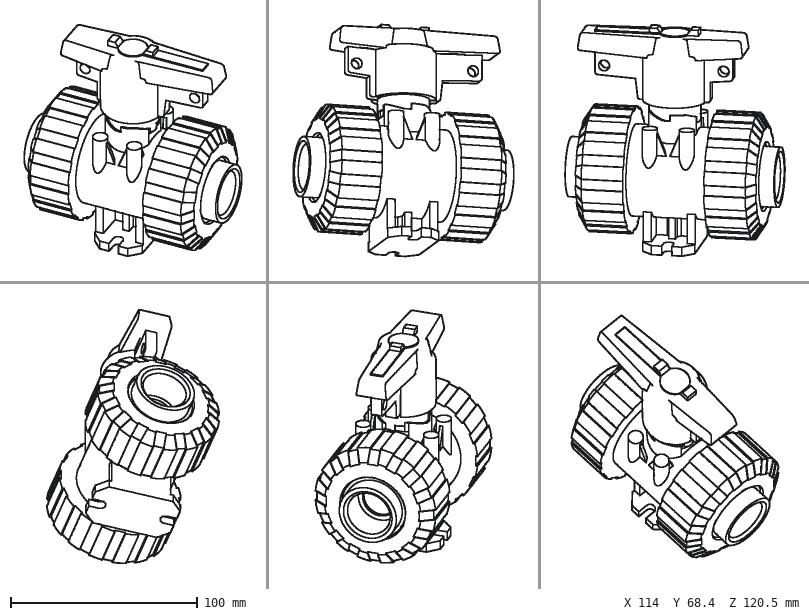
import cadquery as cq
import math


OVERALL_LENGTH = 114.0
BORE_R = 9.6
BARREL_R = 24.8
BARREL_END = 36.1

NUT_INNER_X = 22.2
NUT_SHOULDER_X = 44.8
NUT_FACE_X = 49.3
NUT_RIB_R = 34.3
NUT_RIB_FACE_R = 27.5
NUT_GROOVE_R = 33.4
NUT_GROOVE_FACE_R = 26.5
NUT_GROOVE_COUNT = 16
NUT_GROOVE_WIDTH = 5.8
NUT_HOLE_R = 18.7

CONNECTOR_END_X = OVERALL_LENGTH / 2
CONNECTOR_PIPE_R = 16.3
CONNECTOR_COLLAR_R = 18.2
CONNECTOR_COLLAR_X = 47.6
CONNECTOR_FLANGE_X = 41.0
SOCKET_R = 12.2
SOCKET_DEPTH = 19.0
SOCKET_CHAMFER = 1.7

TOWER_R = 15.0
TOWER_FLAT_X = 13.0
TOWER_TOP = 35.4
TOWER_LOW = 32.3
STOP_COUNT = 4
RAMP_MIDDLE_ANGLE = 55.0
RAMP_HALF_LENGTH = 5.2

PEG_R = 4.1
PEG_X = 10.1
PEG_Y = 19.4
PEG_TOP = 29.0
GUSSET_THICKNESS = 1.8
GUSSET_TOP = 26.5
SIDE_GUSSET_LENGTH = 9.0
SIDE_GUSSET_FOOT_Z = 14.5
INNER_GUSSET_LENGTH = 6.4
INNER_GUSSET_FOOT_Z = 21.0
INNER_GUSSET_ANGLE = 110.0

FOOT_BOTTOM = -40.0
FOOT_THICKNESS = 5.0
FOOT_HALF_X = 14.2
FOOT_HALF_Y = 24.0
FOOT_CORNER = 5.9
FOOT_SLOT_R = 2.8
FOOT_SLOT_CENTER_Y = 18.3
SIDE_WALL_THICKNESS = 4.5
SIDE_WALL_HALF_Y = 16.6
FOOT_RIB_THICKNESS = 3.7
FOOT_RIB_HALF_Y = 8.7
FOOT_POST_R = 4.2

NECK_R = 14.1
NECK_BOTTOM = 29.7
NECK_STOP_Z = 33.1
NECK_TOP = 51.8
HUB_R = 17.5
HUB_BOTTOM = 40.3
HUB_ROUND = 1.7
HUB_ROUND_Z = 66.1
HUB_COVE = 0.7
CONE_TOP_R = 13.5
CONE_TOP_Z = 75.9
SLOT_WIDTH = 8.7
SLOT_TOP = 66.7

LEVER_TOP = 77.2
LEVER_BOTTOM = 65.9
LEVER_DRAFT = 8.0
LEVER_LEFT_X = -39.0
LEVER_RIGHT_X = 52.0
LEVER_LEFT_HALF_Y = 9.8
LEVER_MIDDLE_HALF_Y = 12.4
LEVER_RIGHT_HALF_Y = 8.9
LEVER_LEFT_RISE = 1.8
LEVER_RIGHT_RISE = 1.7
LEVER_UNDERSIDE_X = 14.5
LEVER_END_ROUND = 2.2
LEVER_TIP_ROUND = 1.5

WEB_THICKNESS = 6.3
WEB_LEFT_X = -32.0
WEB_RIGHT_X = 43.1
WEB_STEP_LEFT_X = -19.9
WEB_STEP_RIGHT_X = 21.1
WEB_FOOT_RIGHT_X = 19.8
WEB_END_Z = 53.0
WEB_ROUND = 1.6
WEB_HOLE_R = 2.9
WEB_HOLE_Z = 58.2
WEB_HOLE_INSET = 4.9

MARK_TOP = 77.9
DISC_R = 8.1
STRIP_WIDTH = 7.0
LUG_TOP = 80.5
LUG_WIDTH = 6.4
LUG_INNER_X = 7.3
LUG_RAMP_X = 9.2
LUG_OUTER_X = 13.4


def cylinder_x(radius, start, end):
    return cq.Workplane("YZ", origin=(start, 0, 0)).circle(radius).extrude(end - start)


def cylinder_z(radius, bottom, top, x=0, y=0):
    return cq.Workplane("XY", origin=(x, y, bottom)).circle(radius).extrude(top - bottom)


def box_between(x_range, y_range, z_range):
    lower_corner = (x_range[0], y_range[0], z_range[0])
    size = [high - low for low, high in (x_range, y_range, z_range)]
    return cq.Workplane("XY").box(*size, centered=False).translate(lower_corner)


def slab_y(points, thickness, middle_y=0):
    """Outline of (x, z) points made into a slab whose thickness is centred on middle_y."""
    outline = cq.Workplane("XZ", origin=(0, middle_y, 0)).polyline(points).close()
    return outline.extrude(thickness / 2, both=True)



def tower():
    shape = cylinder_z(TOWER_R, 0, TOWER_TOP)
    flats = box_between((-TOWER_FLAT_X, TOWER_FLAT_X), (-TOWER_R, TOWER_R), (0, TOWER_TOP))
    shape = shape.intersect(flats)

    ramp = [
        (-RAMP_HALF_LENGTH, TOWER_TOP),
        (RAMP_HALF_LENGTH, TOWER_LOW),
        (TOWER_R, TOWER_LOW),
        (TOWER_R, TOWER_TOP),
    ]
    wedge = cq.Workplane("YZ").polyline(ramp).close().extrude(2 * TOWER_R)
    wedge = wedge.rotate((0, 0, 0), (0, 0, 1), RAMP_MIDDLE_ANGLE)
    quadrant = box_between((0, TOWER_R), (0, TOWER_R), (0, TOWER_TOP))
    wedge = wedge.intersect(quadrant)
    for i in range(STOP_COUNT):
        shape = shape.cut(wedge.rotate((0, 0, 0), (0, 0, 1), i * 360 / STOP_COUNT))
    return shape


def gusset(length, foot_z):
    """Gusset that slopes from the peg on the +X +Y side down to a foot towards -X."""
    outline = [
        (PEG_X, 0),
        (PEG_X, GUSSET_TOP),
        (PEG_X - PEG_R, GUSSET_TOP),
        (PEG_X - length, foot_z),
        (PEG_X - length, 0),
    ]
    return slab_y(outline, GUSSET_THICKNESS, PEG_Y)


def peg_with_gussets():
    """The peg on the +X +Y side, with one gusset towards -X and one towards the tower."""
    peg = cylinder_z(PEG_R, 0, PEG_TOP, PEG_X, PEG_Y)
    side_gusset = gusset(SIDE_GUSSET_LENGTH, SIDE_GUSSET_FOOT_Z)
    inner_gusset = gusset(INNER_GUSSET_LENGTH, INNER_GUSSET_FOOT_Z)
    inner_gusset = inner_gusset.rotate((PEG_X, PEG_Y, 0), (PEG_X, PEG_Y, 1), INNER_GUSSET_ANGLE)
    return peg.union(side_gusset).union(inner_gusset)


def foot():
    foot_top = FOOT_BOTTOM + FOOT_THICKNESS
    y_span = (-FOOT_HALF_Y, FOOT_HALF_Y)
    plate = box_between((-FOOT_HALF_X, FOOT_HALF_X), y_span, (FOOT_BOTTOM, foot_top))
    plate = plate.edges("|Z").chamfer(FOOT_CORNER)
    for side in (1, -1):
        slot_end = cylinder_z(FOOT_SLOT_R, FOOT_BOTTOM, foot_top, 0, side * FOOT_SLOT_CENTER_Y)
        slot_y = sorted((side * FOOT_SLOT_CENTER_Y, side * FOOT_HALF_Y))
        slot = box_between((-FOOT_SLOT_R, FOOT_SLOT_R), slot_y, (FOOT_BOTTOM, foot_top))
        plate = plate.cut(slot_end).cut(slot)

    wall_z = (FOOT_BOTTOM, 0)
    wall_y = (-SIDE_WALL_HALF_Y, SIDE_WALL_HALF_Y)
    walls = box_between((-FOOT_HALF_X, FOOT_HALF_X), wall_y, wall_z)
    inside_x = FOOT_HALF_X - SIDE_WALL_THICKNESS
    walls = walls.cut(box_between((-inside_x, inside_x), wall_y, wall_z))

    half_rib = FOOT_RIB_THICKNESS / 2
    long_rib = box_between((-FOOT_HALF_X, FOOT_HALF_X), (-half_rib, half_rib), wall_z)
    cross_rib = box_between((-half_rib, half_rib), (-FOOT_RIB_HALF_Y, FOOT_RIB_HALF_Y), wall_z)
    post = cylinder_z(FOOT_POST_R, FOOT_BOTTOM, 0)
    return plate.union(walls).union(long_rib).union(cross_rib).union(post)


def valve_body():
    shape = cylinder_x(BARREL_R, -BARREL_END, BARREL_END)
    shape = shape.union(tower()).union(foot())
    peg = peg_with_gussets()
    for side_peg in (peg, peg.mirror("YZ")):
        shape = shape.union(side_peg).union(side_peg.mirror("XZ"))
    shape = shape.cut(cylinder_z(NECK_R, NECK_BOTTOM, TOWER_TOP))
    return shape.cut(cylinder_x(BORE_R, -BARREL_END, BARREL_END))



def nut_blank(radius, face_radius):
    outline = [
        (NUT_INNER_X, 0),
        (NUT_INNER_X, radius),
        (NUT_SHOULDER_X, radius),
        (NUT_FACE_X, face_radius),
        (NUT_FACE_X, 0),
    ]
    return cq.Workplane("XY").polyline(outline).close().revolve(360, (0, 0, 0), (1, 0, 0))


def union_nut():
    ribs = nut_blank(NUT_RIB_R, NUT_RIB_FACE_R)
    half_groove = NUT_GROOVE_WIDTH / 2
    groove = box_between((NUT_INNER_X, NUT_FACE_X), (-half_groove, half_groove), (BARREL_R, NUT_RIB_R))
    for i in range(NUT_GROOVE_COUNT):
        ribs = ribs.cut(groove.rotate((0, 0, 0), (1, 0, 0), i * 360 / NUT_GROOVE_COUNT))
    shape = ribs.union(nut_blank(NUT_GROOVE_R, NUT_GROOVE_FACE_R))
    shape = shape.cut(cylinder_x(BARREL_R, NUT_INNER_X, CONNECTOR_FLANGE_X))
    return shape.cut(cylinder_x(NUT_HOLE_R, CONNECTOR_FLANGE_X, NUT_FACE_X))


def end_connector():
    shape = cylinder_x(BARREL_R, BARREL_END, CONNECTOR_FLANGE_X)
    shape = shape.union(cylinder_x(CONNECTOR_COLLAR_R, BARREL_END, CONNECTOR_COLLAR_X))
    shape = shape.union(cylinder_x(CONNECTOR_PIPE_R, BARREL_END, CONNECTOR_END_X))
    socket = cylinder_x(SOCKET_R, CONNECTOR_END_X - SOCKET_DEPTH, CONNECTOR_END_X)
    shape = shape.cut(cylinder_x(BORE_R, BARREL_END, CONNECTOR_END_X)).cut(socket)
    socket_mouth = cq.selectors.RadiusNthSelector(0)
    return shape.faces(">X").edges(socket_mouth).chamfer(SOCKET_CHAMFER)



def hub():
    """Skirt, rounded shoulder and cone on the stem axis."""
    shoulder_r = HUB_R - HUB_ROUND
    shoulder_z = HUB_ROUND_Z + HUB_ROUND
    cone_r = shoulder_r - HUB_COVE
    cone_z = shoulder_z + HUB_COVE
    top_round = LEVER_TOP - CONE_TOP_Z
    middle = math.sqrt(0.5)
    outline = (
        cq.Workplane("XZ")
        .moveTo(0, HUB_BOTTOM)
        .lineTo(HUB_R, HUB_BOTTOM)
        .lineTo(HUB_R, HUB_ROUND_Z)
        .threePointArc(
            (shoulder_r + HUB_ROUND * middle, HUB_ROUND_Z + HUB_ROUND * middle),
            (shoulder_r, shoulder_z),
        )
        .threePointArc(
            (shoulder_r - HUB_COVE * middle, cone_z - HUB_COVE * middle),
            (cone_r, cone_z),
        )
        .lineTo(CONE_TOP_R, CONE_TOP_Z)
        .threePointArc(
            (CONE_TOP_R - top_round * (1 - middle), CONE_TOP_Z + top_round * middle),
            (CONE_TOP_R - top_round, LEVER_TOP),
        )
        .lineTo(0, LEVER_TOP)
        .close()
    )
    return outline.revolve(360, (0, 0, 0), (0, 1, 0))


def lever():
    plan = [
        (LEVER_LEFT_X, LEVER_LEFT_HALF_Y),
        (0, LEVER_MIDDLE_HALF_Y),
        (LEVER_RIGHT_X, LEVER_RIGHT_HALF_Y),
    ]
    plan += [(x, -y) for x, y in reversed(plan)]
    base = cq.Workplane("XY", origin=(0, 0, LEVER_BOTTOM)).polyline(plan).close()
    shape = base.extrude(LEVER_TOP - LEVER_BOTTOM, taper=LEVER_DRAFT)
    shape = shape.faces(">Z").edges("<X or >X").fillet(LEVER_END_ROUND)
    for end_x, rise in ((LEVER_LEFT_X, LEVER_LEFT_RISE), (LEVER_RIGHT_X, LEVER_RIGHT_RISE)):
        start_x = math.copysign(LEVER_UNDERSIDE_X, end_x)
        under = [(start_x, LEVER_BOTTOM), (end_x, LEVER_BOTTOM + rise), (end_x, LEVER_BOTTOM)]
        shape = shape.cut(slab_y(under, 2 * HUB_R))
        tip = cq.selectors.NearestToPointSelector((end_x, 0, LEVER_BOTTOM + rise))
        shape = shape.edges(tip).fillet(LEVER_TIP_ROUND)
    return shape


def web():
    left_end = (WEB_LEFT_X, WEB_END_Z)
    left_foot = (WEB_STEP_LEFT_X, HUB_BOTTOM)
    right_foot = (WEB_FOOT_RIGHT_X, HUB_BOTTOM)
    right_end = (WEB_RIGHT_X, WEB_END_Z)
    outline = [
        (WEB_LEFT_X, LEVER_TOP),
        left_end,
        (WEB_STEP_LEFT_X, NECK_TOP),
        left_foot,
        right_foot,
        (WEB_STEP_RIGHT_X, NECK_TOP),
        right_end,
        (WEB_RIGHT_X, LEVER_TOP),
    ]
    shape = slab_y(outline, WEB_THICKNESS)
    for x, z in (left_end, left_foot, right_foot, right_end):
        shape = shape.edges(cq.selectors.NearestToPointSelector((x, 0, z))).fillet(WEB_ROUND)
    for hole_x in (WEB_LEFT_X + WEB_HOLE_INSET, WEB_RIGHT_X - WEB_HOLE_INSET):
        hole = cq.Workplane("XZ", origin=(hole_x, 0, WEB_HOLE_Z)).circle(WEB_HOLE_R)
        shape = shape.cut(hole.extrude(WEB_THICKNESS, both=True))
    return shape


def neck():
    """Plain neck whose rim, where it overhangs the tower flats, is cut back on two quarters."""
    shape = cylinder_z(NECK_R, NECK_BOTTOM, NECK_TOP)
    notch = box_between((TOWER_FLAT_X, NECK_R), (0, NECK_R), (NECK_BOTTOM, NECK_STOP_Z))
    return shape.cut(notch).cut(notch.rotate((0, 0, 0), (0, 0, 1), 180))


def top_marks():
    disc = cylinder_z(DISC_R, LEVER_TOP, MARK_TOP)
    half_strip = STRIP_WIDTH / 2
    strip = box_between((0, WEB_RIGHT_X), (-half_strip, half_strip), (LEVER_TOP, MARK_TOP))
    lug_outline = [
        (LUG_INNER_X, LEVER_TOP),
        (LUG_INNER_X, MARK_TOP),
        (LUG_RAMP_X, LUG_TOP),
        (LUG_OUTER_X, LUG_TOP),
        (LUG_OUTER_X, LEVER_TOP),
    ]
    lug = slab_y(lug_outline, LUG_WIDTH)
    return disc.union(strip).union(lug).union(lug.mirror("YZ"))


def handle_body():
    """All of the handle; a slot under the lever leaves a gap on each side of the web."""
    half_slot = SLOT_WIDTH / 2
    slot = box_between((LEVER_LEFT_X, LEVER_RIGHT_X), (-half_slot, half_slot), (HUB_BOTTOM, SLOT_TOP))
    shape = hub().union(lever()).cut(slot)
    return shape.union(web()).union(neck()).union(top_marks())


def at_both_ends(shape):
    """Copies at the +X and -X ends, the second turned half round about the stem axis."""
    return [shape.rotate((0, 0, 0), (0, 0, 1), angle).val() for angle in (0, 180)]


body = valve_body()
handle = handle_body()
nuts = at_both_ends(union_nut())
connectors = at_both_ends(end_connector())

result = cq.Compound.makeCompound([body.val(), handle.val(), *nuts, *connectors])